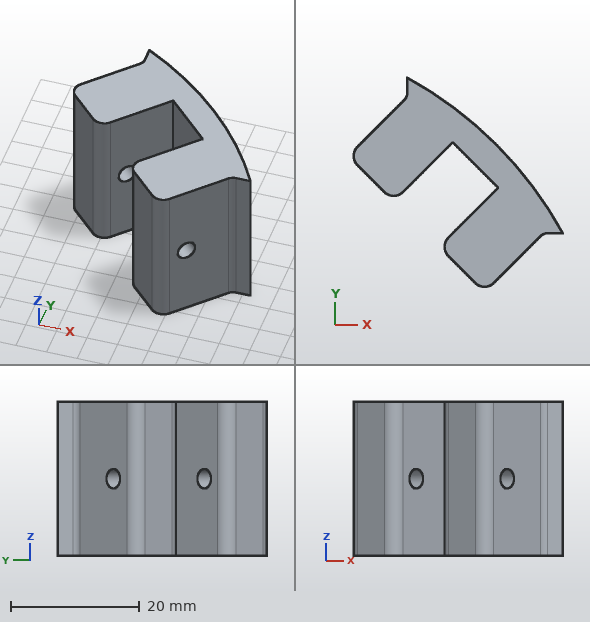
import cadquery as cq

leg_width = 10.0
slot_width = 10.0
slot_depth = 13.0
height = 24.0
tip_depth = 15.1
tip_half_span = 17.13
back_rise = 2.45
leg_corner_radius = 2.02
wing_corner_radius = 1.5
hole_diameter = 3.0
hole_depth_position = 4.98
body_angle = -45

slot_half = slot_width / 2
leg_outer = slot_half + leg_width
wing_root_depth = tip_depth - (tip_half_span - leg_outer)


def make_body():
    """Extrude the two-legged shape with its curved back."""
    body = (
        cq.Workplane("XY")
        .moveTo(-leg_outer, 0)
        .lineTo(-slot_half, 0)
        .lineTo(-slot_half, slot_depth)
        .lineTo(slot_half, slot_depth)
        .lineTo(slot_half, 0)
        .lineTo(leg_outer, 0)
        .lineTo(leg_outer, wing_root_depth)
        .lineTo(tip_half_span, tip_depth)
        .threePointArc((0, tip_depth + back_rise), (-tip_half_span, tip_depth))
        .lineTo(-leg_outer, wing_root_depth)
        .close()
        .extrude(height)
    )
    body = body.edges("|Z and <Y").fillet(leg_corner_radius)
    for side in (-1, 1):
        wing_root = cq.selectors.NearestToPointSelector(
            (side * leg_outer, wing_root_depth, height / 2)
        )
        body = body.edges("|Z").edges(wing_root).fillet(wing_corner_radius)
    return body


def make_cross_hole():
    """Cylinder that passes through both legs at mid height."""
    return (
        cq.Workplane("YZ")
        .center(hole_depth_position, height / 2)
        .circle(hole_diameter / 2)
        .extrude(leg_outer, both=True)
    )


result = make_body().cut(make_cross_hole()).rotate((0, 0, 0), (0, 0, 1), body_angle)